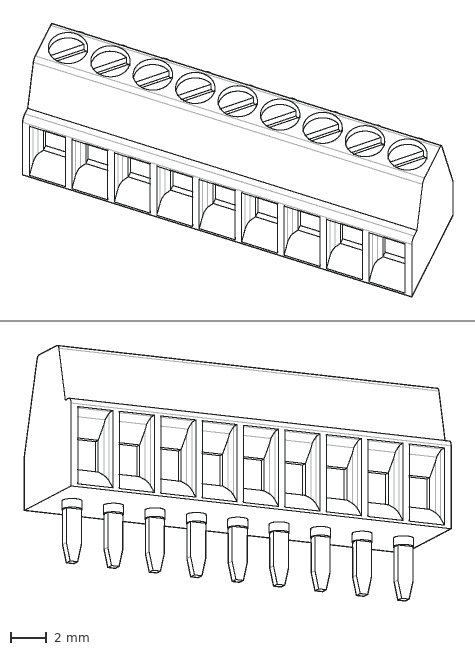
import cadquery as cq
import math

length = 23.32
depth = 6.2
height = 8.5
pole_count = 9
pole_pitch = 2.55
first_pole_x = 1.5
centre_y = depth / 2

ledge_height = 5.1
ledge_depth = 0.77
front_top_y = 1.68
back_wall_height = 3.1
back_top_y = 4.45
ledge_round = 0.35
top_round = 0.3

entry_width = 2.15
entry_bottom = 0.16
entry_top = 4.6
entry_round = 0.63
cheek_round_end_y = 0.9
cheek_round_inset = 0.15
ceiling_round_end_y = 0.85
ceiling_round_drop = 0.35
throat_width = 1.38
throat_y = 1.12
throat_top = 3.1
throat_back_y = 1.47
throat_bottom = entry_bottom + throat_y

screw_diameter = 2.2
screw_recess = 0.5
screw_slot_width = 0.5
screw_slot_depth = 0.47
screw_slot_angle = 45

stud_radius = 0.51
stud_y = 4.7
stud_shoulder_z = 7.23
stud_base_z = 5.6

collar_diameter = 1.12
collar_height = 0.5
pin_width = 0.93
pin_thickness = 0.51
pin_length = 3.52
pin_tip_width = 0.47
pin_taper_start = 2.5


def round_start(end, step, radius):
    """Where an arc starts if it leaves a straight wall tangentially and has moved off it by step at end."""
    return end - math.sqrt(radius**2 - (radius - step) ** 2)


def round_middle(end, step, radius):
    """Position along the wall, and distance off it, of the middle of the same arc."""
    half_angle = math.acos(1 - step / radius) / 2
    along = round_start(end, step, radius) + radius * math.sin(half_angle)
    return along, radius * (1 - math.cos(half_angle))


def make_housing():
    """Stepped, tapered cross-section extruded along the row of poles."""
    outline = [
        (0, 0),
        (0, ledge_height),
        (ledge_depth, ledge_height),
        (front_top_y, height),
        (back_top_y, height),
        (depth, back_wall_height),
        (depth, 0),
    ]
    housing = cq.Workplane("YZ").polyline(outline).close().extrude(length)
    ledge_edge = cq.selectors.NearestToPointSelector((length / 2, 0, ledge_height))
    housing = housing.edges(ledge_edge).fillet(ledge_round)
    return housing.faces(">Z").edges("|X").fillet(top_round)


def make_wire_entry():
    """Funnel for one pole, centred on X = 0: its plan crossed with its side profile."""
    half_entry = entry_width / 2
    half_throat = throat_width / 2
    cheek_start_y = round_start(cheek_round_end_y, cheek_round_inset, entry_round)
    cheek_middle_y, cheek_middle_inset = round_middle(cheek_round_end_y, cheek_round_inset, entry_round)
    cheek_end_x = half_entry - cheek_round_inset
    cheek_middle_x = half_entry - cheek_middle_inset
    plan = (
        cq.Workplane("XY")
        .moveTo(-half_entry, 0)
        .lineTo(half_entry, 0)
        .lineTo(half_entry, cheek_start_y)
        .threePointArc((cheek_middle_x, cheek_middle_y), (cheek_end_x, cheek_round_end_y))
        .lineTo(half_throat, throat_y)
        .lineTo(half_throat, throat_back_y)
        .lineTo(-half_throat, throat_back_y)
        .lineTo(-half_throat, throat_y)
        .lineTo(-cheek_end_x, cheek_round_end_y)
        .threePointArc((-cheek_middle_x, cheek_middle_y), (-half_entry, cheek_start_y))
        .close()
        .extrude(ledge_height)
    )

    ceiling_start_y = round_start(ceiling_round_end_y, ceiling_round_drop, entry_round)
    ceiling_middle_y, ceiling_middle_drop = round_middle(ceiling_round_end_y, ceiling_round_drop, entry_round)
    side = (
        cq.Workplane("YZ")
        .moveTo(0, entry_bottom)
        .lineTo(throat_y, throat_bottom)
        .lineTo(throat_back_y, throat_bottom)
        .lineTo(throat_back_y, throat_top)
        .lineTo(throat_y, throat_top)
        .lineTo(ceiling_round_end_y, entry_top - ceiling_round_drop)
        .threePointArc((ceiling_middle_y, entry_top - ceiling_middle_drop), (ceiling_start_y, entry_top))
        .lineTo(0, entry_top)
        .close()
        .extrude(half_entry, both=True)
    )
    return plan.intersect(side)


def make_screw_recess():
    """Round recess above one screw head plus the driver slot across the head."""
    head_z = height - screw_recess
    bore = cq.Workplane("XY", origin=(0, centre_y, head_z)).circle(screw_diameter / 2)
    bore = bore.extrude(screw_recess)
    slot_plane = cq.Workplane("XY", origin=(0, centre_y, head_z - screw_slot_depth))
    slot = slot_plane.transformed(rotate=(0, 0, screw_slot_angle))
    slot = slot.rect(screw_diameter, screw_slot_width).extrude(screw_slot_depth)
    slot_limit = slot_plane.circle(screw_diameter / 2).extrude(screw_slot_depth)
    return bore.union(slot.intersect(slot_limit))


def make_stud():
    """Upright round stud with a hemispherical top."""
    shank = cq.Workplane("XY", origin=(0, stud_y, stud_base_z)).circle(stud_radius)
    shank = shank.extrude(stud_shoulder_z - stud_base_z)
    dome = cq.Workplane("XY", origin=(0, stud_y, stud_shoulder_z)).sphere(stud_radius)
    return shank.union(dome)


def make_pin():
    """Round collar under the housing and a flat pin with a tapered tip."""
    collar = cq.Workplane("XY", origin=(0, centre_y, 0)).circle(collar_diameter / 2).extrude(-collar_height)
    outline = [
        (-pin_width / 2, 0),
        (-pin_width / 2, -pin_taper_start),
        (-pin_tip_width / 2, -pin_length),
        (pin_tip_width / 2, -pin_length),
        (pin_width / 2, -pin_taper_start),
        (pin_width / 2, 0),
    ]
    blade = cq.Workplane("XZ", origin=(0, centre_y, 0)).polyline(outline).close()
    blade = blade.extrude(pin_thickness / 2, both=True)
    return collar.union(blade)


wire_entry = make_wire_entry()
screw_recess_cut = make_screw_recess()
stud = make_stud()
pin = make_pin()

result = make_housing()
for pole in range(pole_count):
    at_pole = (first_pole_x + pole * pole_pitch, 0, 0)
    result = result.union(stud.translate(at_pole)).union(pin.translate(at_pole))
    result = result.cut(wire_entry.translate(at_pole)).cut(screw_recess_cut.translate(at_pole))